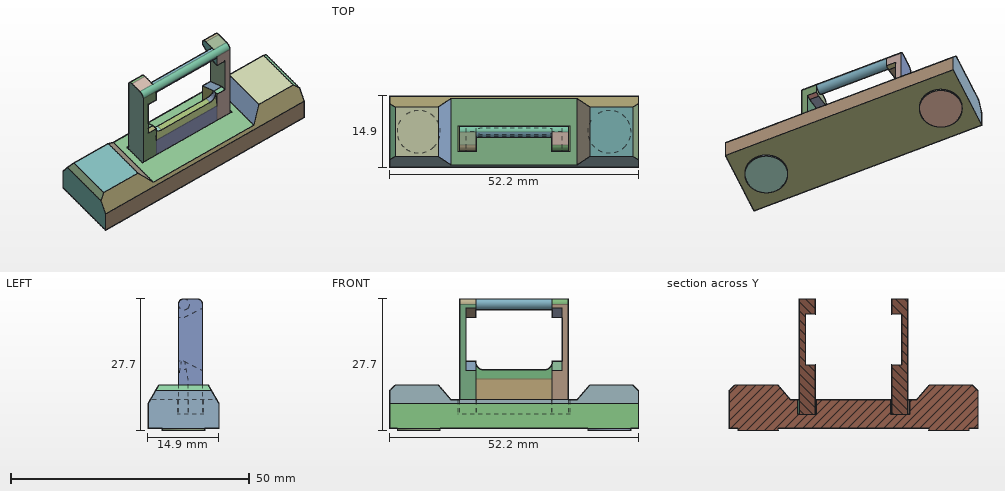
import cadquery as cq
import math

BASE_LENGTH = 52.23
BASE_WIDTH = 14.9
BASE_HEIGHT = 9.12
SIDE_HEIGHT = 5.2
SIDE_SLOPE = 30
END_CHAMFER = 1.2
SADDLE_FLOOR = 6.0
SADDLE_FLOOR_LENGTH = 26.4
SADDLE_TOP_LENGTH = 31.8

FOOT_DIAMETER = 9.0
FOOT_THICKNESS = 0.5
FOOT_SPACING = 40.0

HANDLE_LENGTH = 22.8
HANDLE_DEPTH = 5.1
HANDLE_BACK = 1.1
HANDLE_FRONT = HANDLE_BACK - HANDLE_DEPTH
HANDLE_TOP = 27.68 - FOOT_THICKNESS
SEAT_DEPTH = 3.0
HANDLE_BOTTOM = SADDLE_FLOOR - SEAT_DEPTH
TOP_RADIUS = 1.17
LEG_GAP = 16.0

THIN_GAP = 20.14
THIN_BOTTOM = 12.1
THIN_TOP = 25.2
THIN_RISE = 2.0
THIN_FLAT = 1.1

WEB_THICKNESS = 2.0
WEB_TOP = 12.3
WEB_TAPER_START = 10.4
WEB_TAPER = 10
WEB_FILLET = 1.6

SEAT_END_CLEARANCE = 0.35
SEAT_CLEARANCE = 0.15


def block(x_min, x_max, y_min, y_max, z_min, z_max):
    """Axis-aligned box given by its limits."""
    return cq.Workplane("XY").box(
        x_max - x_min, y_max - y_min, z_max - z_min, centered=False
    ).translate((x_min, y_min, z_min))


def extrude_along_x(points, length):
    """Prism of a closed (Y, Z) outline, centred on X = 0."""
    return cq.Workplane("YZ").polyline(points).close().extrude(length / 2, both=True)


def make_seat():
    """U-shaped recess that takes the lower end of the handle."""
    half_length = HANDLE_LENGTH / 2 + SEAT_END_CLEARANCE
    half_gap = LEG_GAP / 2 - SEAT_CLEARANCE
    front = HANDLE_FRONT - SEAT_CLEARANCE
    back = HANDLE_BACK + SEAT_CLEARANCE
    web_front = HANDLE_BACK - WEB_THICKNESS - SEAT_CLEARANCE
    seat = block(-half_length, half_length, front, back, HANDLE_BOTTOM, BASE_HEIGHT)
    island = block(-half_gap, half_gap, front, web_front, HANDLE_BOTTOM, BASE_HEIGHT)
    return seat.cut(island)


def make_base():
    """Saddle-shaped base with sloped sides, two round feet and the handle seat."""
    half_length = BASE_LENGTH / 2
    half_width = BASE_WIDTH / 2
    top_half_width = half_width - (BASE_HEIGHT - SIDE_HEIGHT) * math.tan(math.radians(SIDE_SLOPE))

    side_profile = (
        cq.Workplane("XZ")
        .polyline([
            (-half_length, 0),
            (half_length, 0),
            (half_length, BASE_HEIGHT - END_CHAMFER),
            (half_length - END_CHAMFER, BASE_HEIGHT),
            (SADDLE_TOP_LENGTH / 2, BASE_HEIGHT),
            (SADDLE_FLOOR_LENGTH / 2, SADDLE_FLOOR),
            (-SADDLE_FLOOR_LENGTH / 2, SADDLE_FLOOR),
            (-SADDLE_TOP_LENGTH / 2, BASE_HEIGHT),
            (-half_length + END_CHAMFER, BASE_HEIGHT),
            (-half_length, BASE_HEIGHT - END_CHAMFER),
        ])
        .close()
        .extrude(half_width, both=True)
    )
    cross_section = extrude_along_x(
        [
            (-half_width, 0),
            (half_width, 0),
            (half_width, SIDE_HEIGHT),
            (top_half_width, BASE_HEIGHT),
            (-top_half_width, BASE_HEIGHT),
            (-half_width, SIDE_HEIGHT),
        ],
        BASE_LENGTH,
    )
    feet = (
        cq.Workplane("XY")
        .rarray(FOOT_SPACING, 1, 2, 1)
        .circle(FOOT_DIAMETER / 2)
        .extrude(-FOOT_THICKNESS)
    )
    return side_profile.intersect(cross_section).union(feet).cut(make_seat())


def make_bar_envelope():
    """Round bar with a square upper rear corner, which the rounded frame edge trims."""
    centre_y = HANDLE_BACK - TOP_RADIUS
    centre_z = HANDLE_TOP - TOP_RADIUS
    return (
        cq.Workplane("YZ", origin=(-LEG_GAP / 2, 0, 0))
        .moveTo(HANDLE_BACK, HANDLE_TOP)
        .lineTo(centre_y, HANDLE_TOP)
        .threePointArc((centre_y - TOP_RADIUS, centre_z), (centre_y, centre_z - TOP_RADIUS))
        .radiusArc((HANDLE_BACK, centre_z), -TOP_RADIUS)
        .close()
        .extrude(LEG_GAP)
    )


def make_frame():
    """Two legs joined by the grip bar, the legs thinned from the inside between sloped steps."""
    frame = (
        block(-HANDLE_LENGTH / 2, HANDLE_LENGTH / 2, HANDLE_FRONT, HANDLE_BACK, HANDLE_BOTTOM, HANDLE_TOP)
        .edges("|X and >Z")
        .fillet(TOP_RADIUS)
    )
    gap = block(
        -LEG_GAP / 2, LEG_GAP / 2, HANDLE_FRONT, HANDLE_BACK, HANDLE_BOTTOM, HANDLE_TOP
    ).cut(make_bar_envelope())
    flat_front = HANDLE_BACK - THIN_FLAT
    thinning_outline = [
        (HANDLE_FRONT, THIN_BOTTOM),
        (flat_front, THIN_BOTTOM + THIN_RISE),
        (HANDLE_BACK, THIN_BOTTOM + THIN_RISE),
        (HANDLE_BACK, THIN_TOP - THIN_RISE),
        (flat_front, THIN_TOP - THIN_RISE),
        (HANDLE_FRONT, THIN_TOP),
    ]
    thinning = extrude_along_x(thinning_outline, THIN_GAP)
    return frame.cut(gap, clean=False).cut(thinning, clean=False)


def make_web():
    """Rear wall between the legs, tapered towards its top and rising in a fillet at each end."""
    half_gap = LEG_GAP / 2
    fillet_top = WEB_TOP + WEB_FILLET
    fillet_start = half_gap - WEB_FILLET
    outline = (
        cq.Workplane("XZ", origin=(0, HANDLE_BACK, 0))
        .moveTo(-half_gap, HANDLE_BOTTOM)
        .lineTo(half_gap, HANDLE_BOTTOM)
        .lineTo(half_gap, fillet_top)
        .radiusArc((fillet_start, WEB_TOP), WEB_FILLET)
        .lineTo(-fillet_start, WEB_TOP)
        .radiusArc((-half_gap, fillet_top), WEB_FILLET)
        .close()
        .extrude(WEB_THICKNESS)
    )
    front = HANDLE_BACK - WEB_THICKNESS
    taper_inset = (fillet_top - WEB_TAPER_START) * math.tan(math.radians(WEB_TAPER))
    tapered_section = extrude_along_x(
        [
            (front, HANDLE_BOTTOM),
            (front, WEB_TAPER_START),
            (front + taper_inset, fillet_top),
            (HANDLE_BACK - taper_inset, fillet_top),
            (HANDLE_BACK, WEB_TAPER_START),
            (HANDLE_BACK, HANDLE_BOTTOM),
        ],
        LEG_GAP,
    )
    return outline.intersect(tapered_section)


def make_handle():
    """Frame of two legs and the grip bar, closed at the rear by the web."""
    return make_frame().union(make_web(), clean=False)


base = make_base()
handle = make_handle()

result = cq.Compound.makeCompound([*base.solids().vals(), *handle.solids().vals()])